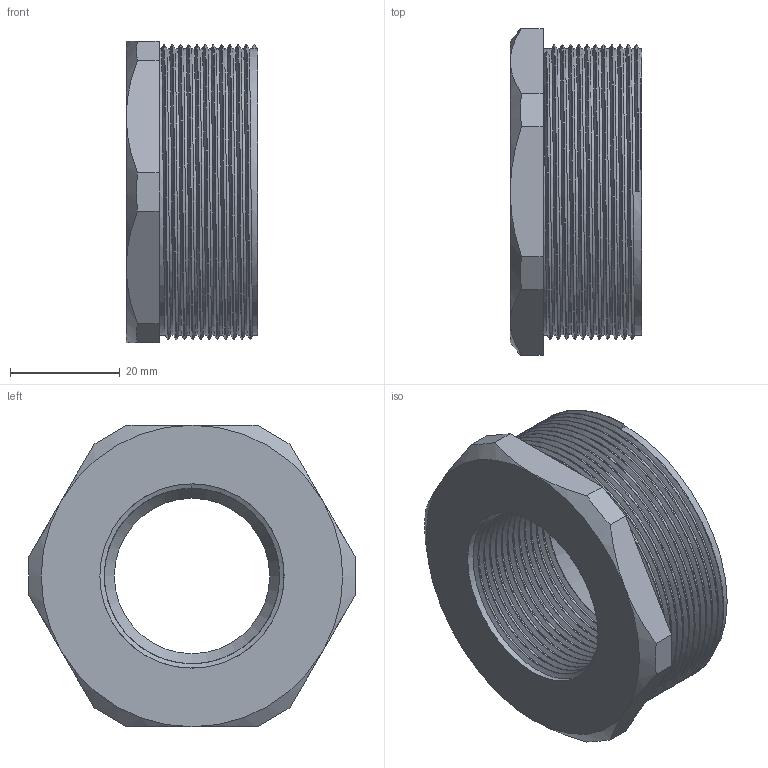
import cadquery as cq
import math

TOTAL_LENGTH = 24.0
FLANGE_THICKNESS = 6.0
HEX_SIDES = 6
HALF_SECTOR = 180 / HEX_SIDES
ACROSS_FLATS = 55.0
ACROSS_CORNER_FLATS = 59.5
FLANGE_BEVEL_ANGLE = 40.0

BODY_DIAMETER = 52.25

BORE_DIAMETER = 33.62
OUTLET_DIAMETER = 28.35
CONE_START = 20.25

PITCH = 1.5
RIDGE_HEIGHT = 0.8
RIDGE_ROOT_WIDTH = 1.0
RIDGE_CREST_WIDTH = 0.12
RIDGE_EMBED = 0.1

BODY_THREAD_END = 23.39
BODY_THREAD_TURNS = 11.2
BORE_THREAD_END = 20.25
BORE_THREAD_TURNS = 13


def hexagon(across_flats, thickness, rotation):
    """Hexagonal plate along +X; a rotation of 0 puts its corners on the Y axis."""
    across_corners = across_flats / math.cos(math.radians(HALF_SECTOR))
    plate = cq.Workplane("YZ").polygon(HEX_SIDES, across_corners).extrude(thickness)
    return plate.rotate((0, 0, 0), (1, 0, 0), rotation)


def revolved(outline):
    """Solid turned about the X axis from (x, radius) points."""
    return cq.Workplane("XY").polyline(outline).close().revolve(360, (0, 0, 0), (1, 0, 0))


def flange():
    """Hexagon with flattened corners and a conical bevel on its outer face."""
    plate = hexagon(ACROSS_FLATS, FLANGE_THICKNESS, 0)
    plate = plate.intersect(hexagon(ACROSS_CORNER_FLATS, FLANGE_THICKNESS, HALF_SECTOR))
    face_radius = ACROSS_FLATS / 2
    rim_radius = face_radius + FLANGE_THICKNESS / math.tan(math.radians(FLANGE_BEVEL_ANGLE))
    bevel = revolved([(0, 0), (0, face_radius), (FLANGE_THICKNESS, rim_radius), (FLANGE_THICKNESS, 0)])
    return plate.intersect(bevel)


def body():
    """Plain cylinder that carries the outer thread."""
    return cq.Workplane("YZ").circle(BODY_DIAMETER / 2).extrude(TOTAL_LENGTH)


def bore():
    """Cutter for the bore: a cylinder followed by a cone down to the outlet."""
    radius = BORE_DIAMETER / 2
    return revolved([
        (0, 0),
        (0, radius),
        (CONE_START, radius),
        (TOTAL_LENGTH, OUTLET_DIAMETER / 2),
        (TOTAL_LENGTH, 0),
    ])


def thread_ridge(root_radius, outward, end_x, turns):
    """Right-handed ridge on a cylinder, ending at +Z; outward is +1 or -1."""
    flank_run = (RIDGE_ROOT_WIDTH - RIDGE_CREST_WIDTH) / 2
    embed_half_width = RIDGE_ROOT_WIDTH / 2 + RIDGE_EMBED * flank_run / RIDGE_HEIGHT
    base_radius = root_radius - outward * RIDGE_EMBED
    crest_radius = root_radius + outward * RIDGE_HEIGHT
    section = [
        (-embed_half_width, base_radius),
        (-RIDGE_CREST_WIDTH / 2, crest_radius),
        (RIDGE_CREST_WIDTH / 2, crest_radius),
        (embed_half_width, base_radius),
    ]

    length = PITCH * turns
    helices = [
        cq.Wire.makeHelix(PITCH, length, radius, cq.Vector(0, 0, offset)).Edges()[0]
        for offset, radius in section
    ]
    faces = [
        cq.Face.makeRuledSurface(helices[i], helices[(i + 1) % len(helices)])
        for i in range(len(helices))
    ]
    for helix_end in (0, 1):
        corners = [helix.positionAt(helix_end) for helix in helices]
        faces.append(cq.Face.makeFromWires(cq.Wire.makePolygon(corners, close=True)))
    ridge = cq.Solid.makeSolid(cq.Shell.makeShell(faces))

    roll = 180 - 360 * turns
    ridge = cq.Workplane(obj=ridge).rotate((0, 0, 0), (0, 1, 0), 90)
    ridge = ridge.rotate((0, 0, 0), (1, 0, 0), roll)
    return ridge.translate((end_x - length, 0, 0))


body_thread = thread_ridge(BODY_DIAMETER / 2, 1, BODY_THREAD_END, BODY_THREAD_TURNS)
bore_thread = thread_ridge(BORE_DIAMETER / 2, -1, BORE_THREAD_END, BORE_THREAD_TURNS)

result = flange().union(body()).cut(bore()).union(body_thread).union(bore_thread)